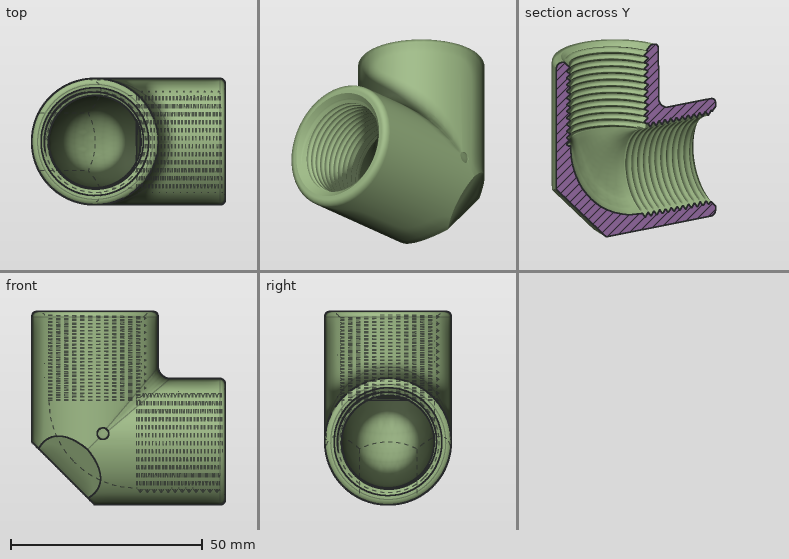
import cadquery as cq
import math


body_radius = 16.5
leg_length = 34.0
end_round = 1.5
overshoot = 5.0

corner_flat_distance = body_radius / math.sqrt(2)
corner_flat_half_width = 7.5

inner_fillet = 3.0
dimple_diameter = 3.0
dimple_offset = 2.1
dimple_depth = 0.35

bore_radius = 24.1 / 2
thread_start = 10.8
thread_pitch = 1.814
thread_depth = 1.162
crest_width = 0.1
mouth_radius = 14.06


def along_x(shape):
    """Turn a Z leg feature onto the X leg; its +X side comes to lie on the +Y side."""
    return shape.rotate((0, 0, 0), (1, 1, 1), 120)


def make_body():
    path = cq.Workplane("XZ").moveTo(0, leg_length).lineTo(0, 0).lineTo(leg_length, 0)
    body = (
        cq.Workplane("XY", origin=(0, 0, leg_length))
        .circle(body_radius)
        .sweep(path, transition="right")
    )
    return body.faces(">Z or >X").edges().fillet(end_round)


def trim_outer_corner(body):
    """Cut one flat square to the corner diagonal and a 45 degree flat on each side of it."""
    reach = body_radius + overshoot
    side_rise = reach - corner_flat_half_width
    flat_y = -corner_flat_distance
    far_y = 2 * leg_length
    across_diagonal = cq.Plane(origin=(0, 0, 0), xDir=(0, 1, 0), normal=(1, 0, -1))
    kept = (
        cq.Workplane(across_diagonal)
        .polyline([
            (-corner_flat_half_width, flat_y),
            (corner_flat_half_width, flat_y),
            (reach, flat_y + side_rise),
            (reach, far_y),
            (-reach, far_y),
            (-reach, flat_y + side_rise),
        ])
        .close()
        .extrude(2 * leg_length, both=True)
    )
    return body.intersect(kept)


def cut_dimples(body):
    """Sink a flat-bottomed round dimple into each side, on the mitre line."""
    dimple = (
        cq.Workplane("XZ", origin=(dimple_offset, -body_radius, dimple_offset))
        .circle(dimple_diameter / 2)
        .extrude(-dimple_depth)
    )
    return body.cut(dimple).cut(dimple.mirror("XZ"))


def round_inner_corner(body):
    """Fillet the inner half of the mitre, from dimple to dimple."""
    inner_edges = [edge for edge in body.edges("%ELLIPSE").vals() if edge.Center().x > dimple_offset]
    return body.newObject(inner_edges).fillet(inner_fillet)


def make_bend_bore():
    """Quarter turn of the bore circle, without the part beyond the axis of the bend."""
    half_chord = math.sqrt(bore_radius**2 - thread_start**2)
    return (
        cq.Workplane("XY", origin=(0, 0, thread_start))
        .moveTo(thread_start, -half_chord)
        .threePointArc((-bore_radius, 0), (thread_start, half_chord))
        .close()
        .revolve(90, (thread_start, 0), (thread_start, -1))
    )


def make_plain_bore():
    """Leg bore at the thread's minor diameter, with the 45 degree countersink at its mouth."""
    mouth_depth = mouth_radius - bore_radius
    return (
        cq.Workplane("XZ")
        .polyline([
            (0, thread_start),
            (bore_radius, thread_start),
            (bore_radius, leg_length - mouth_depth),
            (mouth_radius, leg_length),
            (0, leg_length),
        ])
        .close()
        .revolve(360, (0, 0), (0, 1))
    )


def make_thread_groove():
    """Right-handed V groove whose centre meets the end face on the +X side."""
    turns = math.ceil((leg_length - thread_start) / thread_pitch) + 2
    height = turns * thread_pitch
    base = leg_length + thread_pitch - height
    helix = cq.Wire.makeHelix(thread_pitch, height, bore_radius, center=cq.Vector(0, 0, base))
    inner_radius = bore_radius - thread_depth
    half_width = (thread_pitch - crest_width) / 2
    return (
        cq.Workplane("XZ")
        .polyline([
            (inner_radius, base - half_width),
            (bore_radius, base - half_width),
            (bore_radius + thread_depth, base),
            (bore_radius, base + half_width),
            (inner_radius, base + half_width),
        ])
        .close()
        .sweep(cq.Workplane(helix), isFrenet=True)
    )


def make_threaded_bore():
    threaded_length = (
        cq.Workplane("XY", origin=(0, 0, thread_start))
        .circle(body_radius)
        .extrude(leg_length - thread_start)
    )
    return make_plain_bore().union(make_thread_groove(), clean=False).intersect(threaded_length)


threaded_bore = make_threaded_bore()

result = trim_outer_corner(make_body())
result = round_inner_corner(cut_dimples(result))
result = result.cut(make_bend_bore()).cut(threaded_bore).cut(along_x(threaded_bore))